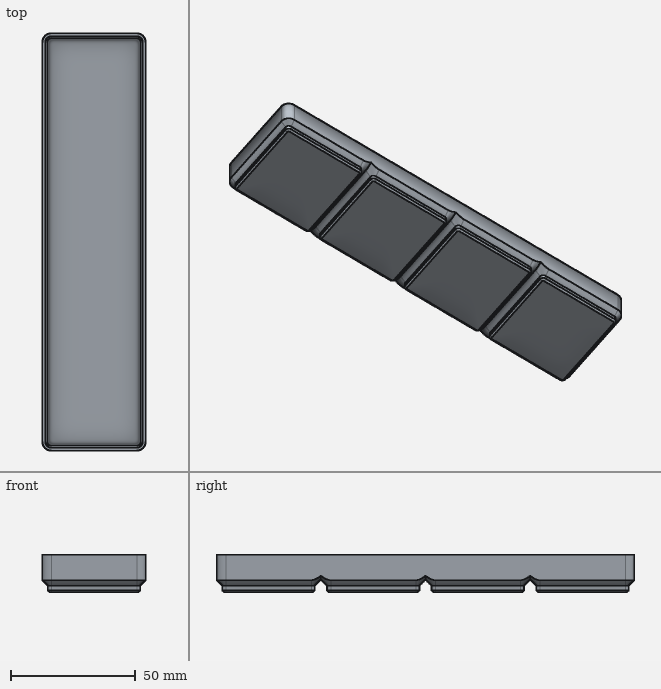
import cadquery as cq
import math

length = 167.5
width = 41.5
height = 15.0
corner_radius = 3.7

foot_count = 4
foot_pitch = (length - width) / (foot_count - 1)
foot_gap = foot_pitch - width

foot_height = 4.9
toe_chamfer = 0.8
flare = 2.2
ankle_height = foot_height - toe_chamfer - flare

wall = 2.0
floor_top = 7.0
rim_chamfer = 0.8
pocket_radius = corner_radius - wall

widening = -45

cone_spread = math.hypot(corner_radius, corner_radius + foot_gap / 2) - corner_radius
flare_top = foot_height + cone_spread


def rounded_slab(size_x, size_y, radius, bottom, thickness, taper=0):
    """Rounded rectangle centred on the Z axis, extruded upwards from the bottom height."""
    outline = cq.Sketch().rect(size_x, size_y).vertices().fillet(radius)
    slab = cq.Workplane("XY").workplane(offset=bottom).placeSketch(outline)
    return slab.extrude(thickness, taper=taper)


def make_foot():
    """One foot, whose flare overshoots the tray outline and is trimmed later."""
    ankle_width = width - 2 * flare
    ankle_radius = corner_radius - flare
    toe_width = ankle_width - 2 * toe_chamfer
    toe_radius = ankle_radius - toe_chamfer
    flare_bottom = toe_chamfer + ankle_height

    toe = rounded_slab(toe_width, toe_width, toe_radius, 0, toe_chamfer, widening)
    ankle = rounded_slab(ankle_width, ankle_width, ankle_radius, toe_chamfer, ankle_height)
    flared_part = rounded_slab(
        ankle_width, ankle_width, ankle_radius, flare_bottom, flare + cone_spread, widening
    )
    return toe.union(ankle).union(flared_part)


def make_base():
    """Solid block standing on its row of feet, trimmed to the tray outline."""
    foot = make_foot()
    base = rounded_slab(width, length, corner_radius, flare_top, height - flare_top)
    for index in range(foot_count):
        foot_y = (index - (foot_count - 1) / 2) * foot_pitch
        base = base.union(foot.translate((0, foot_y, 0)))
    return base.intersect(rounded_slab(width, length, corner_radius, 0, height))


def make_pocket():
    """Tray cavity, with the chamfer around its inner rim."""
    pocket_x = width - 2 * wall
    pocket_y = length - 2 * wall
    chamfer_bottom = height - rim_chamfer
    cavity = rounded_slab(pocket_x, pocket_y, pocket_radius, floor_top, height - floor_top)
    chamfer = rounded_slab(pocket_x, pocket_y, pocket_radius, chamfer_bottom, rim_chamfer, widening)
    return cavity.union(chamfer)


result = make_base().cut(make_pocket())